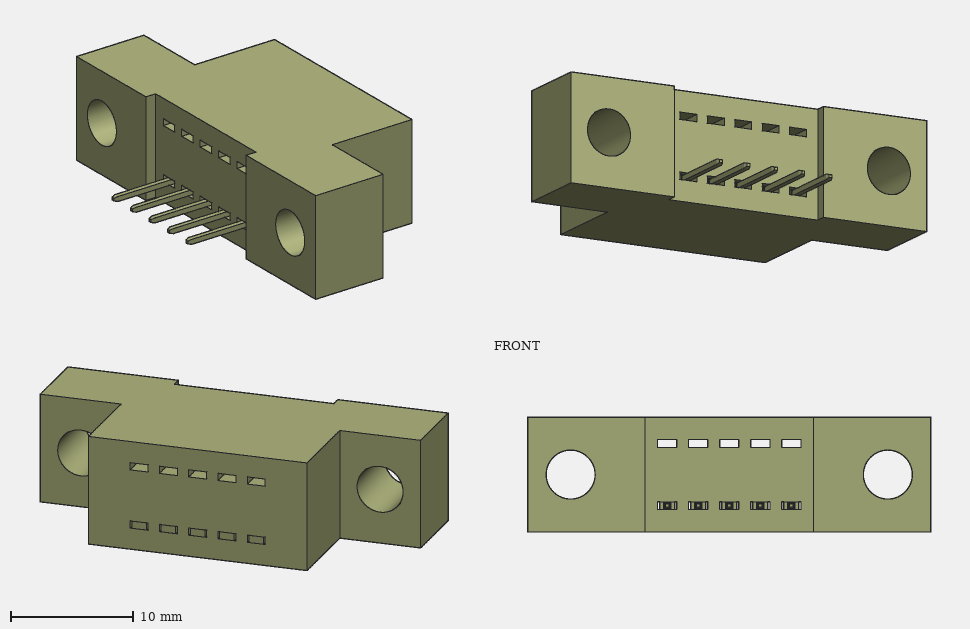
import cadquery as cq

flange_width = 33.02
flange_depth = 6.87
block_width = 19.0
housing_depth = 15.0
housing_height = 9.4
block_depth = housing_depth - flange_depth

recess_width = 13.85
recess_depth = 1.0

mount_diameter = 4.0
mount_spacing = 26.0

contact_count = 5
contact_pitch = 2.55
row_spacing = 5.1
slot_width = 1.55
slot_height = 0.63

blade_width = 1.25
neck_width = 0.63
neck_length = 0.33
neck_setback = 0.65
tail_size = 0.45
tip_size = 0.25
tip_length = 0.33
overall_depth = 19.68

front_y = 0.0
recess_y = front_y + recess_depth
back_y = front_y + housing_depth
neck_y = recess_y + neck_setback
blade_y = neck_y + neck_length
tip_y = back_y - overall_depth
taper_y = tip_y + tip_length

upper_row_z = row_spacing / 2
lower_row_z = -row_spacing / 2
contact_xs = [(i - (contact_count - 1) / 2) * contact_pitch for i in range(contact_count)]


def bar(width, height, y_start, y_end, x=0.0, z=0.0):
    """Rectangular bar running along Y, centred on (x, z)."""
    length = y_end - y_start
    return cq.Workplane("XY").box(width, length, height).translate((x, y_start + length / 2, z))


def make_housing():
    flange = bar(flange_width, housing_height, front_y, front_y + flange_depth)
    block = bar(block_width, housing_height, back_y - block_depth, back_y)
    body = flange.union(block)
    body = body.cut(bar(recess_width, housing_height, front_y, recess_y))

    mount_holes = (
        cq.Workplane("XZ", origin=(0, front_y, 0))
        .pushPoints([(-mount_spacing / 2, 0), (mount_spacing / 2, 0)])
        .circle(mount_diameter / 2)
        .extrude(-flange_depth)
    )
    body = body.cut(mount_holes)

    for z in (lower_row_z, upper_row_z):
        for x in contact_xs:
            body = body.cut(bar(slot_width, slot_height, recess_y, back_y, x, z))
    return body


def make_contact(x):
    """One contact in the lower row; blade and neck fill the slot height, the blade runs to the back."""
    blade = bar(blade_width, slot_height, blade_y, back_y, x, lower_row_z)
    neck = bar(neck_width, slot_height, neck_y, blade_y, x, lower_row_z)
    tail = bar(tail_size, tail_size, taper_y, neck_y, x, lower_row_z)
    tip = (
        cq.Workplane("XZ", origin=(x, taper_y, lower_row_z))
        .rect(tail_size, tail_size)
        .workplane(offset=tip_length)
        .rect(tip_size, tip_size)
        .loft(ruled=True)
    )
    return blade.union(neck).union(tail).union(tip)


housing = make_housing()
contacts = [make_contact(x) for x in contact_xs]

result = cq.Compound.makeCompound([housing.val(), *[contact.val() for contact in contacts]])